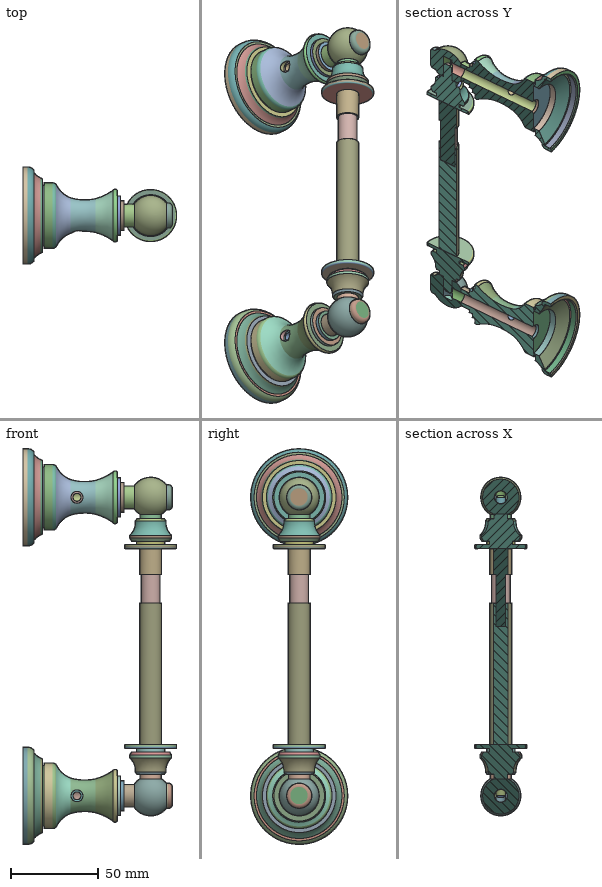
import cadquery as cq


total_height = 227.3
flange_radius = 28.0
bracket_z = total_height / 2 - flange_radius
disc_radius = 15.0
total_depth = 88.5
roller_x = total_depth - disc_radius

flange_rim_depth = 3.0
flange_shoulder_x = 6.5
flange_shoulder_radius = 26.0
flange_cove_radius = 24.5
flange_cove_mid_x = 8.2
flange_cove_mid_radius = 23.0
flange_lip_x = 10.5
flange_lip_radius = 21.5
flange_front_x = 11.4
flange_front_radius = 21.1
flange_collar_radius = 17.5
flange_mouth_radius = 25.2
flange_mouth_fillet = 0.7
flange_cone_radius = 24.0
flange_cone_start_x = 4.3
flange_cone_end_x = 8.5
flange_hole_radius = 16.0

post_back_x = 12.3
post_drum_radius = 18.9
post_drum_end_x = 17.3
post_flare_x = 19.3
post_flare_radius = 17.7
post_flare_mid_x = 23.0
post_flare_mid_radius = 13.0
post_throat_start_x = 27.5
post_throat_start_radius = 10.2
post_throat_x = 36.4
post_throat_radius = 9.0
post_throat_end_x = 41.8
post_throat_end_radius = 9.8
post_trumpet_mid_x = 47.3
post_trumpet_mid_radius = 11.8
post_bead_x = 51.8
post_bead_edge_radius = 14.5
post_bead_radius = 15.2
post_bead_crest_x = 53.2
post_bead_end_x = 54.3
post_step_1_radius = 11.4
post_step_1_end_x = 56.2
post_step_2_radius = 8.6
post_step_2_end_x = 58.2
post_neck_radius = 6.5
post_neck_end_x = 64.0
bore_radius = 3.6
bore_chamfer = 1.1
screw_hole_x = 31.1
screw_hole_radius = 2.3
screw_recess_radius = 3.5
screw_recess_depth = 1.8

ball_radius = 11.5
ball_flat_drop = 9.8
cap_start_x = 82.5
cap_end_x = 86.0
cap_radius = 7.3
cap_fillet = 2.3
stem_radius = 2.7
stem_end_rise = 1.0
stem_chamfer = 1.1
stem_hole_rise = 5.7

cup_neck_radius = 6.1
cup_start = 12.3
cup_start_radius = 8.0
cup_bevel_end = 13.6
cup_radius = 8.9
cup_flare_mid = 18.2
cup_flare_mid_radius = 9.5
cup_bead_start = 21.8
cup_bead_end = 23.5
cup_bead_radius = 12.0
cup_end = 25.2
cup_end_radius = 11.0
cup_collar_radius = 8.2
disc_start = 27.0
disc_thickness = 2.5
disc_end = disc_start + disc_thickness
disc_fillet = 0.7

roller_radius = 6.4
roller_end_z = bracket_z - disc_end
shank_radius = 5.5
shank_start_z = 41.4
sleeve_top_z = 25.0
shank_insertion = 13.6


def revolve_about_x(profile):
    """Revolve an (x, radius) profile about the X axis, then lift it to the upper post axis."""
    return profile.close().revolve(360, (0, 0, 0), (1, 0, 0)).translate((0, 0, bracket_z))


def x_cylinder(radius, start_x, end_x):
    """Cylinder along the upper post axis."""
    return (
        cq.Workplane("YZ", origin=(start_x, 0, bracket_z))
        .circle(radius)
        .extrude(end_x - start_x)
    )


def roller_cylinder(radius, bottom_z, top_z):
    """Cylinder along the roller axis."""
    return (
        cq.Workplane("XY", origin=(roller_x, 0, bottom_z))
        .circle(radius)
        .extrude(top_z - bottom_z)
    )


def make_flange():
    """Hollow wall flange with a stepped outside and a conical inside."""
    profile = (
        cq.Workplane("XY")
        .moveTo(0, flange_mouth_radius + flange_mouth_fillet)
        .lineTo(0, flange_radius)
        .lineTo(flange_rim_depth, flange_radius)
        .tangentArcPoint((flange_shoulder_x, flange_shoulder_radius), relative=False)
        .lineTo(flange_shoulder_x, flange_cove_radius)
        .threePointArc((flange_cove_mid_x, flange_cove_mid_radius), (flange_lip_x, flange_lip_radius))
        .lineTo(flange_front_x, flange_front_radius)
        .lineTo(flange_front_x, flange_collar_radius)
        .lineTo(post_back_x, flange_collar_radius)
        .lineTo(post_back_x, flange_hole_radius)
        .lineTo(flange_cone_end_x, flange_hole_radius)
        .lineTo(flange_cone_start_x, flange_cone_radius)
        .lineTo(flange_cone_start_x, flange_mouth_radius)
        .lineTo(flange_mouth_fillet, flange_mouth_radius)
    )
    return revolve_about_x(profile)


def make_post():
    """Waisted post with an axial bore and a recessed set-screw hole on the -Y side."""
    profile = (
        cq.Workplane("XY")
        .moveTo(post_back_x, 0)
        .lineTo(post_back_x, post_drum_radius)
        .lineTo(post_drum_end_x, post_drum_radius)
        .tangentArcPoint((post_flare_x, post_flare_radius), relative=False)
        .threePointArc(
            (post_flare_mid_x, post_flare_mid_radius),
            (post_throat_start_x, post_throat_start_radius),
        )
        .threePointArc(
            (post_throat_x, post_throat_radius),
            (post_throat_end_x, post_throat_end_radius),
        )
        .threePointArc(
            (post_trumpet_mid_x, post_trumpet_mid_radius),
            (post_bead_x, post_bead_edge_radius),
        )
        .threePointArc((post_bead_crest_x, post_bead_radius), (post_bead_end_x, post_bead_edge_radius))
        .lineTo(post_bead_end_x, post_step_1_radius)
        .lineTo(post_step_1_end_x, post_step_1_radius)
        .lineTo(post_step_1_end_x, post_step_2_radius)
        .lineTo(post_step_2_end_x, post_step_2_radius)
        .lineTo(post_step_2_end_x, post_neck_radius)
        .lineTo(post_neck_end_x, post_neck_radius)
        .lineTo(post_neck_end_x, 0)
    )
    post = revolve_about_x(profile)

    bore_profile = (
        cq.Workplane("XY")
        .moveTo(post_back_x, 0)
        .lineTo(post_back_x, bore_radius + bore_chamfer)
        .lineTo(post_back_x + bore_chamfer, bore_radius)
        .lineTo(post_neck_end_x, bore_radius)
        .lineTo(post_neck_end_x, 0)
    )
    post = post.cut(revolve_about_x(bore_profile))

    screw_axis = cq.Workplane("XZ", origin=(screw_hole_x, 0, bracket_z))
    screw_hole = screw_axis.circle(screw_hole_radius).extrude(post_drum_radius)
    recess_floor = post_throat_radius - screw_recess_depth
    screw_recess = (
        screw_axis.workplane(offset=recess_floor)
        .circle(screw_recess_radius)
        .extrude(post_drum_radius - recess_floor)
    )
    return post.cut(screw_hole).cut(screw_recess)


def make_ball():
    """Ball with a rounded end cap, flats for the post and cup, and bores that meet inside."""
    ball = cq.Workplane("XY").sphere(ball_radius).translate((roller_x, 0, bracket_z))
    post_side = x_cylinder(ball_radius, roller_x - ball_radius, post_neck_end_x)
    cup_side = roller_cylinder(ball_radius, bracket_z - ball_radius, bracket_z - ball_flat_drop)
    ball = ball.cut(post_side).cut(cup_side)

    cap = x_cylinder(cap_radius, cap_start_x, cap_end_x).faces(">X").edges().fillet(cap_fillet)
    ball = ball.union(cap)

    bore = x_cylinder(bore_radius, post_neck_end_x, roller_x)
    stem_hole = roller_cylinder(stem_radius, bracket_z - ball_radius, bracket_z + stem_hole_rise)
    return ball.cut(bore).cut(stem_hole)


def make_cup():
    """Turned cup with its disc; a stem enters the ball."""
    profile = (
        cq.Workplane("XZ", origin=(roller_x, 0, bracket_z))
        .moveTo(0, stem_end_rise)
        .lineTo(stem_radius - stem_chamfer, stem_end_rise)
        .lineTo(stem_radius, stem_end_rise - stem_chamfer)
        .lineTo(stem_radius, -ball_flat_drop)
        .lineTo(cup_neck_radius, -ball_flat_drop)
        .lineTo(cup_neck_radius, -cup_start)
        .lineTo(cup_start_radius, -cup_start)
        .lineTo(cup_radius, -cup_bevel_end)
        .threePointArc((cup_flare_mid_radius, -cup_flare_mid), (cup_bead_radius, -cup_bead_start))
        .lineTo(cup_bead_radius, -cup_bead_end)
        .lineTo(cup_end_radius, -cup_end)
        .lineTo(cup_collar_radius, -cup_end)
        .lineTo(cup_collar_radius, -disc_start)
        .lineTo(0, -disc_start)
        .close()
    )
    cup = profile.revolve(360, (0, 0, 0), (0, 1, 0))
    disc = roller_cylinder(disc_radius, bracket_z - disc_end, bracket_z - disc_start)
    return cup.union(disc.edges().fillet(disc_fillet))


def make_plunger():
    """Upper roller part: a full-width head with a thinner shank below it."""
    head = roller_cylinder(roller_radius, shank_start_z, roller_end_z)
    shank = roller_cylinder(shank_radius, sleeve_top_z - shank_insertion, shank_start_z)
    return head.union(shank)


def make_sleeve():
    """Lower roller part with a blind socket for the shank."""
    sleeve = roller_cylinder(roller_radius, -roller_end_z, sleeve_top_z)
    return sleeve.cut(roller_cylinder(shank_radius, sleeve_top_z - shank_insertion, sleeve_top_z))


bracket_bodies = []
for make_body in (make_flange, make_post, make_ball, make_cup):
    upper_body = make_body()
    lower_body = upper_body.mirror("XY")
    bracket_bodies += [upper_body.val(), lower_body.val()]

plunger = make_plunger()
sleeve = make_sleeve()

result = cq.Compound.makeCompound([*bracket_bodies, plunger.val(), sleeve.val()])